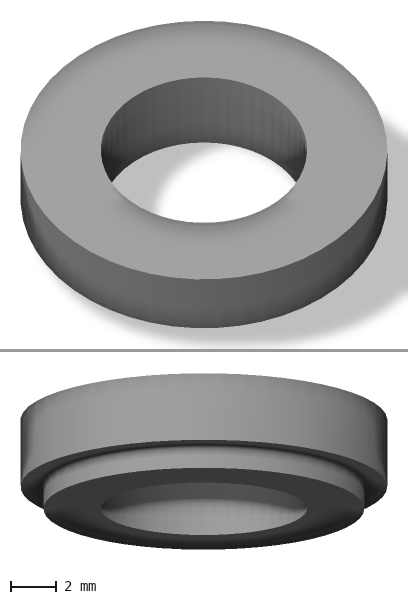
import cadquery as cq

flange_diameter = 16
spigot_diameter = 14.0
bore_diameter = 9.0
total_height = 4
spigot_height = total_height / 4
flange_height = total_height - spigot_height
shoulder_fillet_radius = 0.1

spigot = cq.Workplane("XY").circle(spigot_diameter / 2).extrude(spigot_height)

flange = (
    cq.Workplane("XY")
    .workplane(offset=spigot_height)
    .circle(flange_diameter / 2)
    .extrude(flange_height)
)

shoulder_corner = cq.selectors.RadiusNthSelector(0)
body = (
    spigot.union(flange)
    .faces("<Z[1]")
    .edges(shoulder_corner)
    .fillet(shoulder_fillet_radius)
)

bore = cq.Workplane("XY").circle(bore_diameter / 2).extrude(total_height)

result = body.cut(bore)